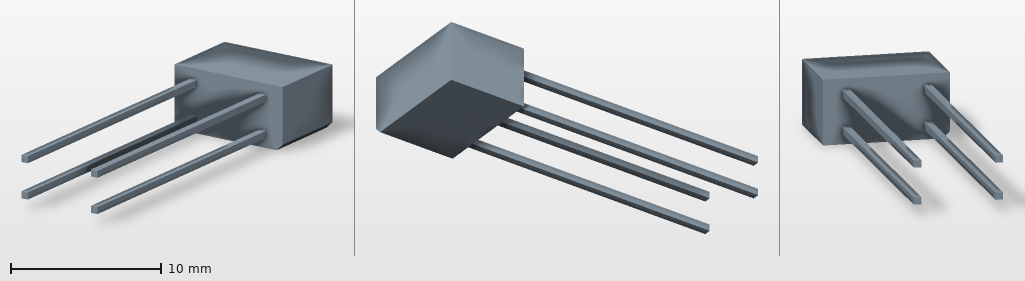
import cadquery as cq

total_length = 25.9
body_width = 8.7
body_height = 4.5
pin_length = 20.0
body_length = total_length - pin_length
corner_chamfer = 0.5

pin_width = 0.52
pin_height = 0.5
pin_pitch_x = 5.6
pin_pitch_z = 2.55
pins_per_side = 2

body = (
    cq.Workplane("XY")
    .box(body_width, body_length, body_height, centered=(True, False, True))
    .edges("|Y and >X and <Z")
    .chamfer(corner_chamfer)
)

pins = (
    cq.Workplane("XZ")
    .rarray(pin_pitch_x, pin_pitch_z, pins_per_side, pins_per_side)
    .rect(pin_width, pin_height)
    .extrude(pin_length)
)

result = body.union(pins)